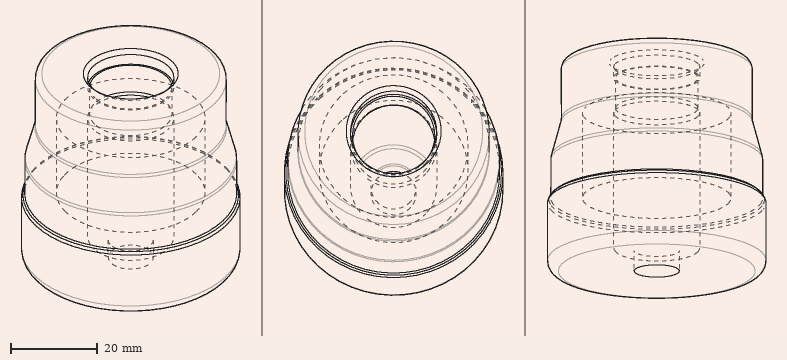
import cadquery as cq

height = 50.3
base_radius = 25.4
waist_radius = 24.65
neck_radius = 22.2

base_fillet = 2.55
base_top = 16.5
collar_bevel_radius = 25.05
collar_bevel_top = 17.2
collar_top = collar_bevel_top + (collar_bevel_radius - waist_radius)

cone_bottom = 27.2
cone_top = 36.2
cone_blend = 3.15
neck_fillet = 1.5

mouth_radius = 10.0
mouth_chamfer = 1.0
ledge_depth = 3.65
throat_radius = 9.55
throat_depth = 10.95
flare_depth = 12.15
ledge_level = height - ledge_depth
throat_bottom = height - throat_depth

spigot_radius = 17.25
spigot_top = height - flare_depth

cavity_radius = mouth_radius
floor_thickness = 5.1
floor_fillet = 0.7
hole_radius = 5.25
hole_fillet = 0.35


def revolved(profile):
    """Solid of revolution about Z from a closed (radius, height) outline."""
    return cq.Workplane("XZ").polyline(profile).close().revolve(360, (0, 0), (0, 1))


def ring(radius, level):
    """Selector for the one circular edge of the given radius at the given height."""
    margin = 0.025
    reach = radius + margin
    inner = radius - margin
    low = level - margin
    high = level + margin
    outer_box = cq.selectors.BoxSelector((-reach, -reach, low), (reach, reach, high), boundingbox=True)
    inner_box = cq.selectors.BoxSelector((-inner, -inner, low), (inner, inner, high), boundingbox=True)
    return outer_box - inner_box


def make_base():
    """Cup with a bevelled collar, a spigot on top and a drilled floor."""
    base = revolved([
        (hole_radius, 0),
        (base_radius, 0),
        (base_radius, base_top),
        (collar_bevel_radius, collar_bevel_top),
        (waist_radius, collar_top),
        (spigot_radius, collar_top),
        (spigot_radius, spigot_top),
        (cavity_radius, spigot_top),
        (cavity_radius, floor_thickness),
        (hole_radius, floor_thickness),
    ])
    base = base.edges(ring(base_radius, 0)).fillet(base_fillet)
    base = base.edges(ring(cavity_radius, floor_thickness)).fillet(floor_fillet)
    return base.edges(ring(hole_radius, floor_thickness)).fillet(hole_fillet)


def make_cap():
    """Tapered cap with a stepped opening that flares out to the cavity of the base."""
    cap = revolved([
        (spigot_radius, collar_top),
        (waist_radius, collar_top),
        (waist_radius, cone_bottom),
        (neck_radius, cone_top),
        (neck_radius, height),
        (mouth_radius, height),
        (mouth_radius, ledge_level),
        (throat_radius, ledge_level),
        (throat_radius, throat_bottom),
        (cavity_radius, spigot_top),
        (spigot_radius, spigot_top),
    ])
    cap = cap.edges(ring(waist_radius, cone_bottom)).fillet(cone_blend)
    cap = cap.edges(ring(neck_radius, cone_top)).fillet(cone_blend)
    cap = cap.edges(ring(neck_radius, height)).fillet(neck_fillet)
    return cap.edges(ring(mouth_radius, height)).chamfer(mouth_chamfer)


base = make_base()
cap = make_cap()

result = cq.Compound.makeCompound([base.val(), cap.val()])